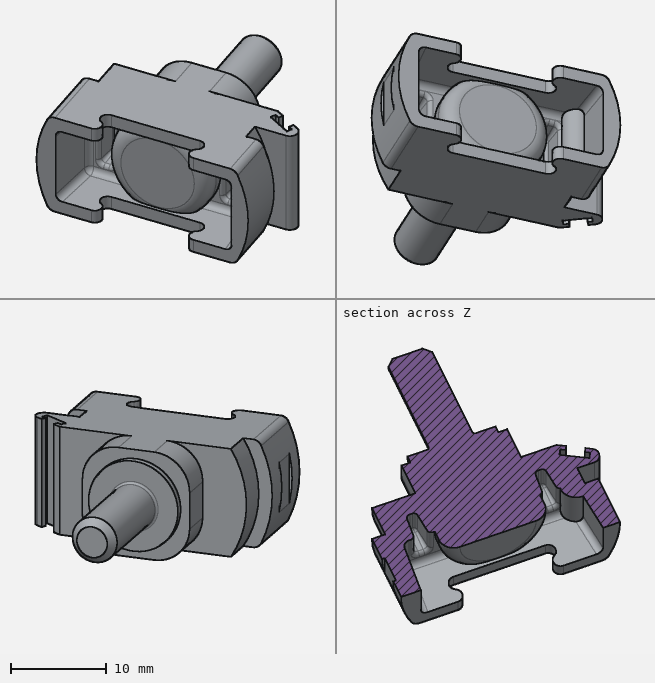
import cadquery as cq
import math

width = 12.0
half_width = width / 2
base_reach = 12.4
base_bow_radius = 12.5
base_corner_radius = 1.0
neck_reach = 10.9
neck_bow_radius = 11.2
undercut_y = 6.0
shoulder_y = 8.0
body_top_y = 11.6

boss_top_y = 15.4
boss_corner_radius = 4.0
collar_diameter = 10.0
collar_top_y = 16.2
stud_diameter = 5.0
stud_top_y = 28.2
stud_chamfer = 0.8
stud_root_fillet = 0.25

hook_reach = 13.7
hook_slope = 30.0
slot_floor_x = 9.81
slot_floor_y = 10.32
slot_depth = 1.2
slot_floor_length = 3.12
slot_lip_overhang = 0.57
slot_undercut_height = 0.63

rail_depth = 3.1
rail_mouth_half = 5.15
rail_round = 0.825

pocket_half_width = 4.45
pocket_floor_y = 6.3
pocket_left_x = -10.13
pocket_right_x = 10.45
wall_draft = 5.0
pocket_fillet = 0.75
step_x = 8.2
step_radius = 1.8

button_diameter = 12.0
button_face_y = 3.5
button_fillet = 1.7

recess_centers_x = (-7.43, 7.12)
recess_width = 1.6
recess_length = 6.4
recess_depth = 3.0
recess_corner_radius = 0.5
recess_floor_fillet = 0.42
recess_mouth_fillet = 0.5

window_half_width = 2.75
window_low_y = 2.2
window_high_y = 5.2


def section_at(y):
    """Workplane across the part; extruding runs from y towards -Y."""
    return cq.Workplane("XZ", origin=(0, y, 0))


def bowed_half(side, reach, bow_radius, low_y, high_y, corner_radius=0):
    """Half of the body on one side of X = 0 (side is -1 or 1), with a bowed end."""
    bow_drop = bow_radius - math.sqrt(bow_radius**2 - half_width**2)
    corner_x = side * (reach - bow_drop)
    half = (
        section_at(high_y)
        .moveTo(0, -half_width)
        .lineTo(corner_x, -half_width)
        .threePointArc((side * reach, 0), (corner_x, half_width))
        .lineTo(0, half_width)
        .close()
        .extrude(high_y - low_y)
    )
    if corner_radius:
        outer_edges = ">X" if side > 0 else "<X"
        half = half.edges("|Y").edges(outer_edges).fillet(corner_radius)
    return half


def make_hook():
    """Upper +X half of the body with its slanted, rounded tip and T-slot."""
    slope = math.radians(hook_slope)
    sin_s = math.sin(slope)
    cos_s = math.cos(slope)

    def from_slot(along, above):
        return (
            slot_floor_x + along * cos_s + above * sin_s,
            slot_floor_y - along * sin_s + above * cos_s,
        )

    tip_radius = (
        slot_depth - (hook_reach - slot_floor_x) * sin_s - (shoulder_y - slot_floor_y) * cos_s
    ) / (1 - sin_s + cos_s)
    tip_x = hook_reach - tip_radius
    tip_y = shoulder_y + tip_radius
    slope_start_x = slot_floor_x + (slot_depth - (body_top_y - slot_floor_y) * cos_s) / sin_s

    blank = (
        cq.Workplane("XY")
        .moveTo(0, shoulder_y)
        .lineTo(tip_x, shoulder_y)
        .threePointArc(
            (hook_reach, tip_y),
            (tip_x + tip_radius * sin_s, tip_y + tip_radius * cos_s),
        )
        .lineTo(slope_start_x, body_top_y)
        .lineTo(0, body_top_y)
        .close()
        .extrude(half_width, both=True)
    )

    mouth_start = slot_lip_overhang
    mouth_end = slot_floor_length - slot_lip_overhang
    above_slot = 2 * slot_depth
    slot_points = [
        from_slot(0, 0),
        from_slot(slot_floor_length, 0),
        from_slot(slot_floor_length, slot_undercut_height),
        from_slot(mouth_end, slot_undercut_height),
        from_slot(mouth_end, above_slot),
        from_slot(mouth_start, above_slot),
        from_slot(mouth_start, slot_undercut_height),
        from_slot(0, slot_undercut_height),
    ]
    slot = cq.Workplane("XY").polyline(slot_points).close().extrude(half_width, both=True)
    return blank.cut(slot)


def make_body():
    """Wide base and narrower upper part, notched below the hook on the +X side."""
    base_size = (base_reach, base_bow_radius)
    neck_size = (neck_reach, neck_bow_radius)
    body = bowed_half(-1, *base_size, 0, shoulder_y, base_corner_radius)
    body = body.union(bowed_half(1, *base_size, 0, undercut_y, base_corner_radius))
    body = body.union(bowed_half(1, *neck_size, undercut_y, shoulder_y))
    body = body.union(bowed_half(-1, *neck_size, shoulder_y, body_top_y))
    return body.union(make_hook())


def make_stud():
    """Rounded square boss, collar and chamfered pin."""
    boss = (
        section_at(boss_top_y)
        .rect(width, width)
        .extrude(boss_top_y - body_top_y)
        .edges("|Y")
        .fillet(boss_corner_radius)
    )
    collar = section_at(collar_top_y).circle(collar_diameter / 2).extrude(collar_top_y - boss_top_y)
    pin = (
        section_at(stud_top_y)
        .circle(stud_diameter / 2)
        .extrude(stud_top_y - collar_top_y)
        .faces(">Y")
        .chamfer(stud_chamfer)
    )
    collar_top = cq.selectors.NearestToPointSelector((0, collar_top_y, collar_diameter / 2))
    stud = collar.union(pin).faces(collar_top).edges(cq.selectors.RadiusNthSelector(0))
    stud = stud.fillet(stud_root_fillet)
    return boss.union(stud)


def make_rail_groove():
    """Groove with rounded lips that run smoothly into rounded inner corners."""
    rise = rail_depth - 2 * rail_round
    shift = math.sqrt((2 * rail_round) ** 2 - rise**2)
    lip_x = rail_mouth_half + rail_round
    lip_y = rail_round
    inner_x = lip_x - shift
    inner_y = rail_depth - rail_round
    meet_x = (lip_x + inner_x) / 2
    meet_y = (lip_y + inner_y) / 2
    return (
        cq.Workplane("XY")
        .moveTo(-lip_x, 0)
        .threePointArc((-rail_mouth_half, lip_y), (-meet_x, meet_y))
        .threePointArc((-inner_x - rail_round, inner_y), (-inner_x, rail_depth))
        .lineTo(inner_x, rail_depth)
        .threePointArc((inner_x + rail_round, inner_y), (meet_x, meet_y))
        .threePointArc((rail_mouth_half, lip_y), (lip_x, 0))
        .close()
        .extrude(half_width, both=True)
    )


def make_pocket():
    """Cutter for the pocket, with drafted end walls and a rounded step at +X."""
    draft_shift = pocket_floor_y * math.tan(math.radians(wall_draft))
    pocket = (
        cq.Workplane("XY")
        .moveTo(pocket_left_x, 0)
        .lineTo(pocket_left_x + draft_shift, pocket_floor_y)
        .lineTo(pocket_right_x - draft_shift, pocket_floor_y)
        .lineTo(pocket_right_x, 0)
        .close()
        .extrude(pocket_half_width, both=True)
        .edges("not <Y")
        .fillet(pocket_fillet)
    )
    step = (
        cq.Workplane("XY")
        .moveTo(step_x, pocket_floor_y)
        .radiusArc((step_x + step_radius, pocket_floor_y - step_radius), -step_radius)
        .lineTo(pocket_right_x, pocket_floor_y - step_radius)
        .lineTo(pocket_right_x, pocket_floor_y)
        .close()
        .extrude(half_width, both=True)
    )
    return pocket.cut(step)


def make_recess(center_x):
    """Narrow drafted recess with a rounded floor and a flared, rounded mouth."""

    def rounded_outline(margin):
        outline = cq.Sketch().rect(recess_width + 2 * margin, recess_length + 2 * margin)
        outline = outline.vertices().fillet(recess_corner_radius + margin)
        return section_at(pocket_floor_y).center(center_x, 0).placeSketch(outline)

    shaft = rounded_outline(0).extrude(-recess_depth, taper=wall_draft)
    rim_blank = rounded_outline(recess_mouth_fillet).extrude(-recess_mouth_fillet)
    rounded_plate = (
        section_at(pocket_floor_y)
        .center(center_x, 0)
        .rect(2 * recess_length, 2 * recess_length)
        .extrude(-2 * recess_mouth_fillet)
        .cut(shaft)
    )
    mouth_edges = rounded_plate.faces("<Y").wires(cq.selectors.LengthNthSelector(0)).edges()
    rounded_plate = rounded_plate.newObject(mouth_edges.vals()).fillet(recess_mouth_fillet)
    flare = rim_blank.cut(rounded_plate)
    return shaft.faces(">Y").edges().fillet(recess_floor_fillet).union(flare)


def make_button():
    """Round-edged button, rooted deep in the body above the pocket floor."""
    return (
        section_at(body_top_y)
        .circle(button_diameter / 2)
        .extrude(body_top_y - button_face_y)
        .faces("<Y")
        .edges()
        .fillet(button_fillet)
    )


def make_window():
    """Cutter that leaves a flat on the bowed -X end."""
    flat_depth = base_bow_radius - math.sqrt(base_bow_radius**2 - window_half_width**2)
    window_height = window_high_y - window_low_y
    blank = cq.Workplane("XY").box(flat_depth, window_height, width, centered=(False, False, True))
    return blank.translate((-base_reach, window_low_y, 0))


result = make_body().cut(make_rail_groove()).cut(make_pocket())
for recess_x in recess_centers_x:
    result = result.cut(make_recess(recess_x))
result = result.union(make_button()).cut(make_window()).union(make_stud())